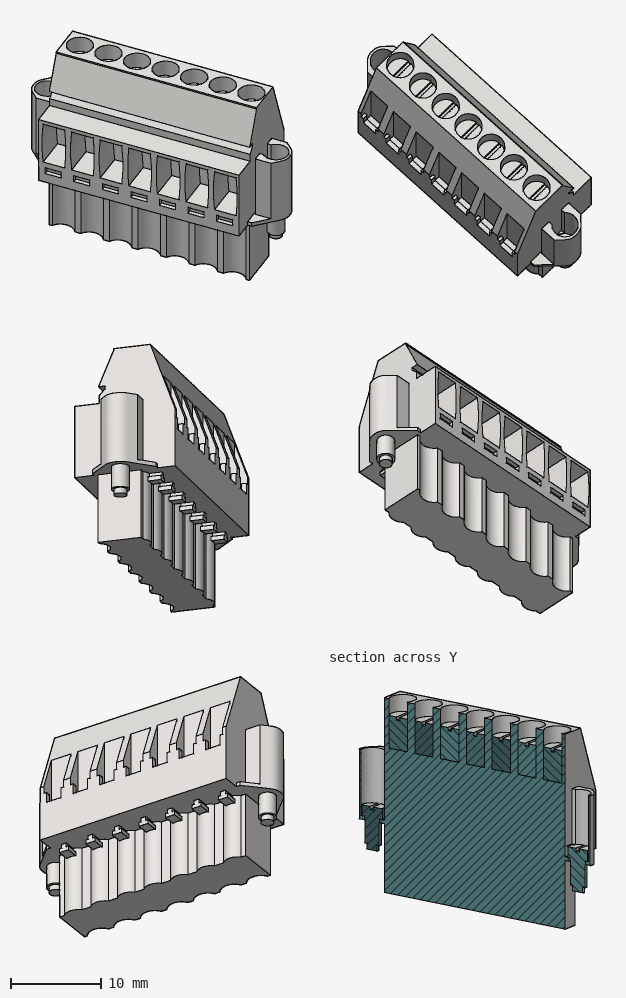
import cadquery as cq
import math


pole_count = 7
pole_span = 21.0
pole_pitch = pole_span / (pole_count - 1)
pole_xs = [-pole_span / 2 + i * pole_pitch for i in range(pole_count)]
chamber_offset = 0.1

housing_width = 24.55
housing_depth = 11.82
housing_top = 22.6
housing_bottom = 7.95
entry_top = 16.35
step_y = 2.9
notch_low_z = 17.3
notch_mid_z = 17.98
notch_top_z = 18.33
notch_root_y = 3.58
brow_y = 2.8
roof_front_y = 4.6
roof_edge_height = 0.2
roof_back_y = 8.9
back_slope_z = 14.7

plug_front = 2.75
plug_back = 7.83
scallop_radius = 1.6
groove_depth = 0.8
bump_height = 0.5

entry_end_width = 2.65
entry_mid_width = 2.92
entry_bottom = 10.65
entry_height = 5.22
entry_depth = 3.77
test_slot_width = 1.95
test_slot_height = 0.8
test_slot_bottom = 9.15
test_slot_depth = 0.5

coding_width = 2.6
coding_mouth_width = 1.9
coding_depth = 1.55
coding_lip = 0.57
coding_lip_top = 13.83
coding_mouth_floor = 12.58
coding_floor = 11.32

latch_back = 9.75
latch_neck_width = 0.63
latch_head_width = 1.2
latch_neck_height = 0.47
latch_head_height = 0.5

clamp_y = 6.82
clamp_radius = 1.5
clamp_recess = 1.95
clamp_length = 3.77
driver_slot_width = 0.4
driver_slot_depth = 0.38

overall_width = 31.45
ear_x = 14.0
ear_flat = 0.28
ear_corner_radius = 1.57
ear_y = 6.0
ear_top = 16.07
ear_half_depth = 2.15
ear_gap = 0.2
plate_half_depth = 3.75
plate_thickness = 0.47
bore_radius = 1.45
ear_slit_width = 1.98

flange_head_radius = 1.38
flange_head_height = 1.25
shank_radius = 1.0
shank_bottom = 5.28
tip_radius = 0.72
tip_bottom = 4.62

side_x = housing_width / 2
plate_top = housing_bottom + plate_thickness
flange_head_top = plate_top + flange_head_height


def block(width, y_range, z_range, x=0.0):
    """Box centred on x, between two Y values and two Z values."""
    depth = y_range[1] - y_range[0]
    height = z_range[1] - z_range[0]
    corner = (x - width / 2, y_range[0], z_range[0])
    return cq.Workplane("XY").box(width, depth, height, centered=False).translate(corner)


def cylinder(radius, x, y, z_range):
    """Upright cylinder between two Z values."""
    base = cq.Workplane("XY", origin=(x, y, z_range[0]))
    return base.circle(radius).extrude(z_range[1] - z_range[0])


def housing_shell():
    section = [
        (0, housing_bottom),
        (0, entry_top),
        (step_y, entry_top),
        (step_y, notch_low_z),
        (notch_root_y, notch_mid_z),
        (notch_root_y, notch_top_z),
        (brow_y, notch_top_z),
        (roof_front_y, housing_top - roof_edge_height),
        (roof_front_y, housing_top),
        (roof_back_y, housing_top),
        (housing_depth, back_slope_z),
        (housing_depth, housing_bottom),
    ]
    return cq.Workplane("YZ").polyline(section).close().extrude(side_x, both=True)


def plug():
    """Plug with a concave groove in front and a convex bump behind at every pole."""
    body = block(housing_width, (plug_front, plug_back), (0, housing_bottom))
    groove_y = plug_front + groove_depth - scallop_radius
    bump_y = plug_back + bump_height - scallop_radius
    for x in pole_xs:
        bump = cylinder(scallop_radius, x, bump_y, (0, housing_bottom))
        bump_room = block(pole_pitch, (plug_back, housing_depth), (0, housing_bottom), x)
        body = body.union(bump.intersect(bump_room))
        body = body.cut(cylinder(scallop_radius, x, groove_y, (0, housing_bottom)))
    return body


def wire_entry(x):
    """Pocket with flat top and bottom and bowed sides."""
    half_end = entry_end_width / 2
    half_mid = entry_mid_width / 2
    half_height = entry_height / 2
    plane = cq.Workplane("XZ", origin=(x, 0, entry_bottom + half_height))
    outline = (
        plane.moveTo(-half_end, -half_height)
        .lineTo(half_end, -half_height)
        .threePointArc((half_mid, 0), (half_end, half_height))
        .lineTo(-half_end, half_height)
        .threePointArc((-half_mid, 0), (-half_end, -half_height))
        .close()
    )
    return outline.extrude(-entry_depth)


def test_slot(x):
    z_range = (test_slot_bottom, test_slot_bottom + test_slot_height)
    return block(test_slot_width, (0, test_slot_depth), z_range, x)


def coding_slot(x):
    """T-shaped slot sunk in the back slope and open through the back face."""
    front = housing_depth - coding_depth
    lip = housing_depth - coding_lip
    upper = block(coding_width, (front, housing_depth), (coding_lip_top, housing_top), x)
    cavity = block(coding_width, (front, lip), (coding_floor, coding_lip_top), x)
    mouth = block(coding_mouth_width, (lip, housing_depth), (coding_mouth_floor, coding_lip_top), x)
    return upper.union(cavity).union(mouth)


def latch(x):
    """Narrow neck under the housing with a wider head below it; both meet the plug."""
    neck_bottom = housing_bottom - latch_neck_height
    head_bottom = neck_bottom - latch_head_height
    y_range = (plug_back, latch_back)
    neck = block(latch_neck_width, y_range, (neck_bottom, housing_bottom), x)
    head = block(latch_head_width, y_range, (head_bottom, neck_bottom), x)
    return neck.union(head)


def flange(side):
    """Plate and ear on one side (-1 or 1); the ear is C-shaped down to the screw head."""
    centre_x = overall_width / 2 - ear_corner_radius
    half_flat = ear_flat / 2
    tangent = ear_corner_radius * math.sin(math.pi / 4)
    mid_x = centre_x + ear_corner_radius * math.cos(math.pi / 8)
    mid_y = half_flat + ear_corner_radius * math.sin(math.pi / 8)
    flank_x = centre_x + tangent
    flank_y = half_flat + tangent
    corner_x = flank_x + flank_y - plate_half_depth
    outline = (
        cq.Workplane("XY", origin=(0, ear_y, housing_bottom))
        .moveTo(side * side_x, -plate_half_depth)
        .lineTo(side * corner_x, -plate_half_depth)
        .lineTo(side * flank_x, -flank_y)
        .threePointArc((side * mid_x, -mid_y), (side * overall_width / 2, -half_flat))
        .lineTo(side * overall_width / 2, half_flat)
        .threePointArc((side * mid_x, mid_y), (side * flank_x, flank_y))
        .lineTo(side * corner_x, plate_half_depth)
        .lineTo(side * side_x, plate_half_depth)
        .close()
    )
    ear = outline.extrude(ear_top - housing_bottom)
    inner_x = side_x + ear_gap
    ear_width = overall_width / 2 - inner_x
    ear_range = (ear_y - ear_half_depth, ear_y + ear_half_depth)
    ear_room = block(ear_width, ear_range, (plate_top, ear_top), side * (inner_x + ear_width / 2))
    plate_range = (ear_y - plate_half_depth, ear_y + plate_half_depth)
    plate_room = block(overall_width, plate_range, (housing_bottom, plate_top))
    body = ear.intersect(ear_room.union(plate_room))

    slit_width = ear_x - side_x
    slit_range = (ear_y - ear_slit_width / 2, ear_y + ear_slit_width / 2)
    slit = block(slit_width, slit_range, (flange_head_top, ear_top), side * (side_x + slit_width / 2))
    bore = cylinder(bore_radius, side * ear_x, ear_y, (plate_top, ear_top))
    shank_hole = cylinder(shank_radius, side * ear_x, ear_y, (housing_bottom, plate_top))
    return body.cut(slit).cut(bore).cut(shank_hole)


def make_housing():
    body = housing_shell().union(plug())
    for side in (-1, 1):
        body = body.union(flange(side))
    for x in pole_xs:
        clamp_x = x + chamber_offset
        clamp_range = (housing_top - clamp_recess - clamp_length, housing_top)
        body = body.union(latch(x))
        body = body.cut(cylinder(clamp_radius, clamp_x, clamp_y, clamp_range))
        body = body.cut(wire_entry(clamp_x))
        body = body.cut(test_slot(x))
        body = body.cut(coding_slot(x))
    return body


def driver_slot(x, y, top, radius):
    """Straight screwdriver slot across a screw head."""
    return block(driver_slot_width, (y - radius, y + radius), (top - driver_slot_depth, top), x)


def make_clamp_screw(x):
    top = housing_top - clamp_recess
    body = cylinder(clamp_radius, x, clamp_y, (top - clamp_length, top))
    return body.cut(driver_slot(x, clamp_y, top, clamp_radius))


def make_flange_screw(x):
    """Slotted head resting on the flange plate, with a stepped shank below."""
    head = cylinder(flange_head_radius, x, ear_y, (plate_top, flange_head_top))
    shank = cylinder(shank_radius, x, ear_y, (shank_bottom, plate_top))
    tip = cylinder(tip_radius, x, ear_y, (tip_bottom, shank_bottom))
    body = head.union(shank).union(tip)
    return body.cut(driver_slot(x, ear_y, flange_head_top, flange_head_radius))


housing = make_housing()
clamp_screws = [make_clamp_screw(x + chamber_offset) for x in pole_xs]
flange_screws = [make_flange_screw(side * ear_x) for side in (-1, 1)]

result = cq.Compound.makeCompound(
    [housing.val()] + [screw.val() for screw in clamp_screws + flange_screws]
)